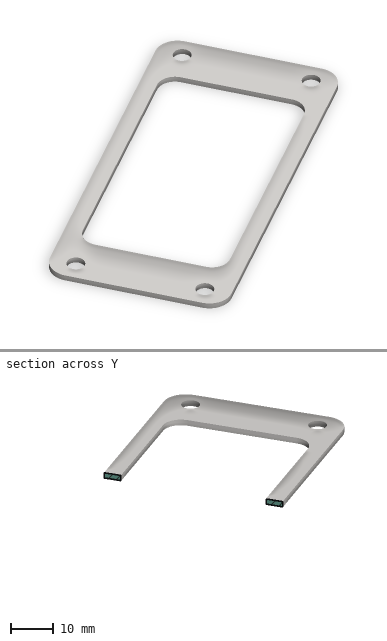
import cadquery as cq

plate_width = 45.0
plate_length = 93.0
plate_thickness = 1.5
plate_corner_radius = 5.5

window_width = 36.5
window_length = 66.5
window_corner_radius = 4.5

hole_diameter = 4.5
hole_spacing_x = 32.0
hole_spacing_y = 82.8


def rounded_block(width, length, corner_radius):
    """Block of plate thickness with rounded vertical corners, centred in X and Y."""
    block = cq.Workplane("XY").rect(width, length).extrude(plate_thickness)
    return block.edges("|Z").fillet(corner_radius)


def mounting_holes():
    """Four through-hole cylinders, one near each corner."""
    return (
        cq.Workplane("XY")
        .rect(hole_spacing_x, hole_spacing_y, forConstruction=True)
        .vertices()
        .circle(hole_diameter / 2)
        .extrude(plate_thickness)
    )


plate = rounded_block(plate_width, plate_length, plate_corner_radius)
window = rounded_block(window_width, window_length, window_corner_radius)
result = plate.cut(window).cut(mounting_holes())